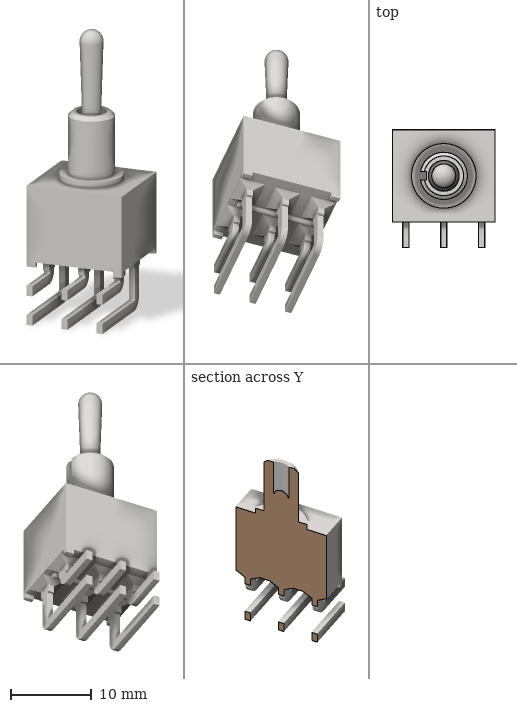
import cadquery as cq
import math


body_length = 12.7
body_width = 11.45
body_height = 10.5
notch_length = 10.4
notch_width = 10.3
notch_height = 0.65

ridge_width = 0.73
ridge_drop = 0.47

flange_diameter = 8.0
flange_thickness = 0.75
bushing_diameter = 5.85
bushing_height = 8.0
bushing_chamfer = 0.47
bore_diameter = 3.8
keyway_width = 1.0
keyway_depth = 0.8

lever_reach = 10.55
lever_tip_radius = 1.5
lever_root_radius = 1.1
ball_depth = 5.1

overall_width = 14.6

lead_pitch = 4.7
row_pitch = 4.83
lead_thickness = 0.8
lead_width = 1.3
shoulder_width = 2.05
shoulder_drop = 1.0
bend_inner_radius = 0.2
lead_end_y = body_width / 2 - overall_width
front_lead_bottom = -2.72
rear_lead_bottom = -6.5
mound_base_length = 3.25
mound_base_width = 3.7

flange_top = body_height + flange_thickness
bushing_top = flange_top + bushing_height


def make_body():
    """Block with one foot left standing at each bottom corner."""
    block = cq.Workplane("XY").box(body_length, body_width, body_height, centered=(True, True, False))
    for length, width in ((body_length, notch_width), (notch_length, body_width)):
        notch = cq.Workplane("XY").box(length, width, notch_height, centered=(True, True, False))
        block = block.cut(notch)
    return block


def make_ridge():
    """Round-nosed rib along X, hanging from the underside of the body."""
    radius = ridge_width / 2
    nose_start = notch_height - (ridge_drop - radius)
    return (
        cq.Workplane("YZ")
        .moveTo(-radius, notch_height)
        .lineTo(-radius, nose_start)
        .threePointArc((0, nose_start - radius), (radius, nose_start))
        .lineTo(radius, notch_height)
        .close()
        .extrude(notch_length / 2, both=True)
    )


def make_turned_parts():
    """Flange, bored bushing and lever on its ball, revolved as one profile."""
    bushing_radius = bushing_diameter / 2
    ball_radius = bore_diameter / 2
    ball_z = bushing_top - ball_depth
    root_z = ball_z + math.sqrt(ball_radius**2 - lever_root_radius**2)
    ball_mid_angle = math.acos(lever_root_radius / ball_radius) / 2
    ball_mid = (
        ball_radius * math.cos(ball_mid_angle),
        ball_z + ball_radius * math.sin(ball_mid_angle),
    )
    tip_z = bushing_top + lever_reach
    tip_center_z = tip_z - lever_tip_radius
    tip_mid = (
        lever_tip_radius * math.cos(math.pi / 4),
        tip_center_z + lever_tip_radius * math.sin(math.pi / 4),
    )
    turned = (
        cq.Workplane("XZ")
        .moveTo(0, body_height)
        .lineTo(flange_diameter / 2, body_height)
        .lineTo(flange_diameter / 2, flange_top)
        .lineTo(bushing_radius, flange_top)
        .lineTo(bushing_radius, bushing_top - bushing_chamfer)
        .lineTo(bushing_radius - bushing_chamfer, bushing_top)
        .lineTo(ball_radius, bushing_top)
        .lineTo(ball_radius, ball_z)
        .threePointArc(ball_mid, (lever_root_radius, root_z))
        .lineTo(lever_tip_radius, tip_center_z)
        .threePointArc(tip_mid, (0, tip_z))
        .close()
        .revolve(360, (0, 0, 0), (0, 1, 0))
    )
    keyway = (
        cq.Workplane("XY", origin=(-bushing_radius, 0, flange_top))
        .box(2 * keyway_depth, keyway_width, bushing_height, centered=(True, True, False))
    )
    return turned.cut(keyway)


def make_lead(x, y, bottom):
    """Flat lead with a wide shoulder, bent to run out towards -Y."""
    inner_y = y - lead_width / 2
    outer_y = y + lead_width / 2
    half_shoulder = shoulder_width / 2
    bend_outer_radius = bend_inner_radius + lead_width
    bend_y = inner_y - bend_inner_radius
    bend_z = bottom + bend_outer_radius
    diagonal = math.sqrt(0.5)

    def bend_middle(radius):
        return (bend_y + radius * diagonal, bend_z - radius * diagonal)

    return (
        cq.Workplane("YZ", origin=(x, 0, 0))
        .moveTo(y - half_shoulder, notch_height)
        .lineTo(y - half_shoulder, -shoulder_drop)
        .lineTo(inner_y, -shoulder_drop)
        .lineTo(inner_y, bend_z)
        .threePointArc(bend_middle(bend_inner_radius), (bend_y, bottom + lead_width))
        .lineTo(lead_end_y, bottom + lead_width)
        .lineTo(lead_end_y, bottom)
        .lineTo(bend_y, bottom)
        .threePointArc(bend_middle(bend_outer_radius), (outer_y, bend_z))
        .lineTo(outer_y, -shoulder_drop)
        .lineTo(y + half_shoulder, -shoulder_drop)
        .lineTo(y + half_shoulder, notch_height)
        .close()
        .extrude(lead_thickness / 2, both=True)
    )


def make_mound(x, y):
    """Sealing mound that narrows from the underside of the body to the lead."""
    return (
        cq.Workplane("XY", origin=(x, y, 0))
        .rect(lead_thickness, shoulder_width)
        .workplane(offset=notch_height)
        .rect(mound_base_length, mound_base_width)
        .loft(ruled=True)
    )


result = make_body().union(make_turned_parts()).union(make_ridge())
for y, bottom in ((-row_pitch / 2, front_lead_bottom), (row_pitch / 2, rear_lead_bottom)):
    for x in (-lead_pitch, 0, lead_pitch):
        result = result.union(make_mound(x, y)).union(make_lead(x, y, bottom))